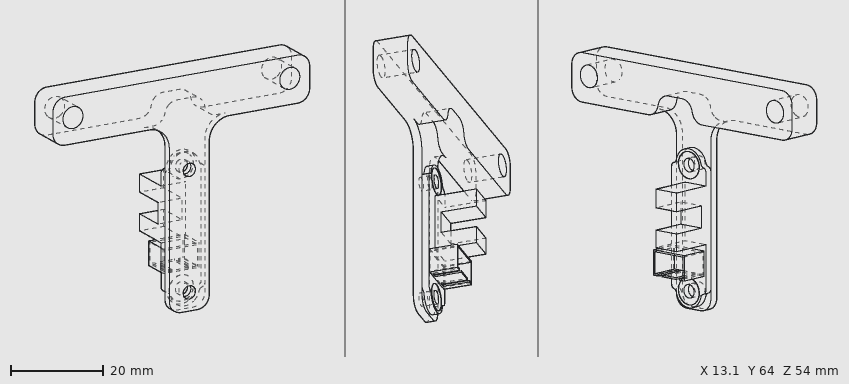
import cadquery as cq
import math


BAR_LENGTH = 64.0
BAR_DEPTH = 8.0
BAR_HEIGHT = 11.0
TOTAL_HEIGHT = 54.0
BAR_BOTTOM = TOTAL_HEIGHT - BAR_HEIGHT
CORNER_RADIUS = 3.0
BAR_HOLE_DIAMETER = 5.0
BAR_HOLE_INSET = 5.0
STEM_WIDTH = 10.0
STEM_CENTER_Y = 2.0
STEM_THICKNESS = 2.0
STEM_FILLET = 5.0
POCKET_HEIGHT = 5.0

BOARD_THICKNESS = 1.6
BOARD_FRONT = STEM_THICKNESS + BOARD_THICKNESS
SCREW_HOLE_DIAMETER = 3.0
LOWER_HOLE_Z = 4.3
HOLE_SPACING = 28.0
UPPER_HOLE_Z = LOWER_HOLE_Z + HOLE_SPACING
EAR_RADIUS = 3.65
SHOULDER_DROP = 0.9
SHOULDER_RADIUS = 0.95
PAD_DIAMETER = 6.0
PAD_DEPTH = 0.1

FORK_WIDTH = 6.0
FORK_FRONT = 13.1
FORK_BOTTOM = 15.35
FORK_TOP = 28.35
FORK_SLOT_BOTTOM = 19.25
FORK_SLOT_TOP = 24.2
FORK_SLOT_FLOOR = 5.0

SHELL_WIDTH = 8.95
SHELL_HEIGHT = 5.6
SHELL_BOTTOM = 8.25
SHELL_FRONT = 10.0
SHELL_WALL = 0.4
SHELL_SLOT_WIDTH = 1.0
SHELL_SLOT_OFFSET = 2.5
SHELL_SLOT_FLOOR = 0.4

STEM_RIGHT_Y = STEM_CENTER_Y - STEM_WIDTH / 2


def block(back, front, y_min, y_max, z_min, z_max):
    """Box between two distances in front of the back face."""
    size = (front - back, y_max - y_min, z_max - z_min)
    return cq.Workplane("XY").box(*size, centered=False).translate((-front, y_min, z_min))


def cylinder(back, front, y, z, diameter):
    """Cylinder along X between two distances in front of the back face."""
    profile = cq.Workplane("YZ", origin=(-front, 0, 0)).center(y, z).circle(diameter / 2)
    return profile.extrude(front - back)


def pocket_cutter():
    """Pocket above the stem: rounded top corners, then walls flaring out at the bar's bottom edge."""
    r = CORNER_RADIUS
    center_y = STEM_CENTER_Y
    top = BAR_BOTTOM + POCKET_HEIGHT
    flat_half = STEM_WIDTH / 2 - r
    upper_z = top - r
    lower_z = BAR_BOTTOM + r
    center_gap = math.sqrt((2 * r) ** 2 - (upper_z - lower_z) ** 2)
    mouth_half = flat_half + center_gap
    joint_half = flat_half + center_gap / 2
    joint_z = (upper_z + lower_z) / 2
    arc_mid = r * math.cos(math.pi / 4)
    profile = (
        cq.Workplane("YZ", origin=(-BAR_DEPTH, 0, 0))
        .moveTo(center_y - mouth_half, BAR_BOTTOM)
        .threePointArc((center_y - mouth_half + arc_mid, lower_z - arc_mid),
                       (center_y - joint_half, joint_z))
        .threePointArc((center_y - flat_half - arc_mid, upper_z + arc_mid),
                       (center_y - flat_half, top))
        .lineTo(center_y + flat_half, top)
        .threePointArc((center_y + flat_half + arc_mid, upper_z + arc_mid),
                       (center_y + joint_half, joint_z))
        .threePointArc((center_y + mouth_half - arc_mid, lower_z - arc_mid),
                       (center_y + mouth_half, BAR_BOTTOM))
        .close()
    )
    return profile.extrude(BAR_DEPTH - STEM_THICKNESS)


def make_bracket():
    bar = block(0, BAR_DEPTH, -BAR_LENGTH / 2, BAR_LENGTH / 2, BAR_BOTTOM, TOTAL_HEIGHT)
    bar = bar.edges("|X").fillet(CORNER_RADIUS).cut(pocket_cutter())
    hole_y = BAR_LENGTH / 2 - BAR_HOLE_INSET
    for y in (-hole_y, hole_y):
        bar = bar.cut(cylinder(0, BAR_DEPTH, y, TOTAL_HEIGHT - BAR_HOLE_INSET, BAR_HOLE_DIAMETER))

    stem_left_y = STEM_RIGHT_Y + STEM_WIDTH
    stem = block(0, STEM_THICKNESS, STEM_RIGHT_Y, stem_left_y, 0, BAR_BOTTOM + POCKET_HEIGHT)
    stem = stem.edges("|X and <Z").fillet(CORNER_RADIUS)

    fillet_z = BAR_BOTTOM - STEM_FILLET
    web = block(0, STEM_THICKNESS, STEM_RIGHT_Y - STEM_FILLET, stem_left_y + STEM_FILLET,
                fillet_z, BAR_BOTTOM)
    for y in (STEM_RIGHT_Y - STEM_FILLET, stem_left_y + STEM_FILLET):
        web = web.cut(cylinder(0, STEM_THICKNESS, y, fillet_z, 2 * STEM_FILLET))

    bracket = bar.union(stem).union(web)
    for z in (LOWER_HOLE_Z, UPPER_HOLE_Z):
        bracket = bracket.cut(cylinder(0, STEM_THICKNESS, STEM_CENTER_Y, z, SCREW_HOLE_DIAMETER))
    return bracket


def board_outline():
    """Board with a round ear at each end, joined to the straight edges by S-shaped shoulders."""
    r = SHOULDER_RADIUS
    half = STEM_WIDTH / 2
    outer_y = half - r
    outer_z = -SHOULDER_DROP
    outer_distance = math.hypot(outer_y, outer_z)
    inner_distance = EAR_RADIUS + r
    cos_between = (inner_distance**2 + outer_distance**2 - (2 * r) ** 2) / (
        2 * inner_distance * outer_distance)
    inner_angle = math.atan2(outer_z, outer_y) + math.acos(cos_between)
    inner_y = inner_distance * math.cos(inner_angle)
    inner_z = inner_distance * math.sin(inner_angle)
    ear_y = EAR_RADIUS * math.cos(inner_angle)
    ear_z = EAR_RADIUS * math.sin(inner_angle)
    joint_y = (inner_y + outer_y) / 2
    joint_z = (inner_z + outer_z) / 2
    joint_angle = math.atan2(inner_z - outer_z, inner_y - outer_y)
    outer_mid = joint_angle / 2
    inner_mid = (inner_angle + joint_angle) / 2 + math.pi

    def upper(y, z):
        return (STEM_CENTER_Y + y, UPPER_HOLE_Z + z)

    def lower(y, z):
        return (STEM_CENTER_Y + y, LOWER_HOLE_Z - z)

    outer_point = (outer_y + r * math.cos(outer_mid), outer_z + r * math.sin(outer_mid))
    inner_point = (inner_y + r * math.cos(inner_mid), inner_z + r * math.sin(inner_mid))

    outline = cq.Workplane("YZ", origin=(-BOARD_FRONT, 0, 0)).moveTo(*lower(half, outer_z))
    for place, side in ((upper, 1), (lower, -1)):
        outline = (
            outline.lineTo(*place(side * half, outer_z))
            .threePointArc(place(side * outer_point[0], outer_point[1]), place(side * joint_y, joint_z))
            .threePointArc(place(side * inner_point[0], inner_point[1]), place(side * ear_y, ear_z))
            .threePointArc(place(0, EAR_RADIUS), place(-side * ear_y, ear_z))
            .threePointArc(place(-side * inner_point[0], inner_point[1]), place(-side * joint_y, joint_z))
            .threePointArc(place(-side * outer_point[0], outer_point[1]), place(-side * half, outer_z))
        )
    return outline.close()


def make_fork():
    fork_left_y = STEM_RIGHT_Y + FORK_WIDTH
    fork = block(BOARD_FRONT, FORK_FRONT, STEM_RIGHT_Y, fork_left_y, FORK_BOTTOM, FORK_TOP)
    slot = block(FORK_SLOT_FLOOR, FORK_FRONT, STEM_RIGHT_Y, fork_left_y,
                 FORK_SLOT_BOTTOM, FORK_SLOT_TOP)
    return fork.cut(slot)


def make_connector_shell():
    right_y = STEM_CENTER_Y - SHELL_WIDTH / 2
    left_y = STEM_CENTER_Y + SHELL_WIDTH / 2
    top = SHELL_BOTTOM + SHELL_HEIGHT
    inner_bottom = SHELL_BOTTOM + SHELL_WALL
    shell = block(BOARD_FRONT, SHELL_FRONT, right_y, left_y, SHELL_BOTTOM, top)
    cavity = block(BOARD_FRONT, SHELL_FRONT, right_y + SHELL_WALL, left_y - SHELL_WALL,
                   inner_bottom, top - SHELL_WALL)
    shell = shell.cut(cavity)
    slot_back = BOARD_FRONT + SHELL_SLOT_FLOOR
    for offset in (-SHELL_SLOT_OFFSET, SHELL_SLOT_OFFSET):
        slot_y = STEM_CENTER_Y + offset - SHELL_SLOT_WIDTH / 2
        shell = shell.cut(block(slot_back, SHELL_FRONT, slot_y, slot_y + SHELL_SLOT_WIDTH,
                                SHELL_BOTTOM, inner_bottom))
    return shell


def make_sensor_board():
    board = board_outline().extrude(BOARD_THICKNESS)
    for z in (LOWER_HOLE_Z, UPPER_HOLE_Z):
        board = board.cut(cylinder(STEM_THICKNESS, BOARD_FRONT, STEM_CENTER_Y, z, SCREW_HOLE_DIAMETER))
        board = board.cut(cylinder(BOARD_FRONT - PAD_DEPTH, BOARD_FRONT, STEM_CENTER_Y, z, PAD_DIAMETER))
    return board.union(make_fork()).union(make_connector_shell())


bracket = make_bracket()
sensor_board = make_sensor_board()

result = cq.Compound.makeCompound([bracket.solids().val(), sensor_board.solids().val()])